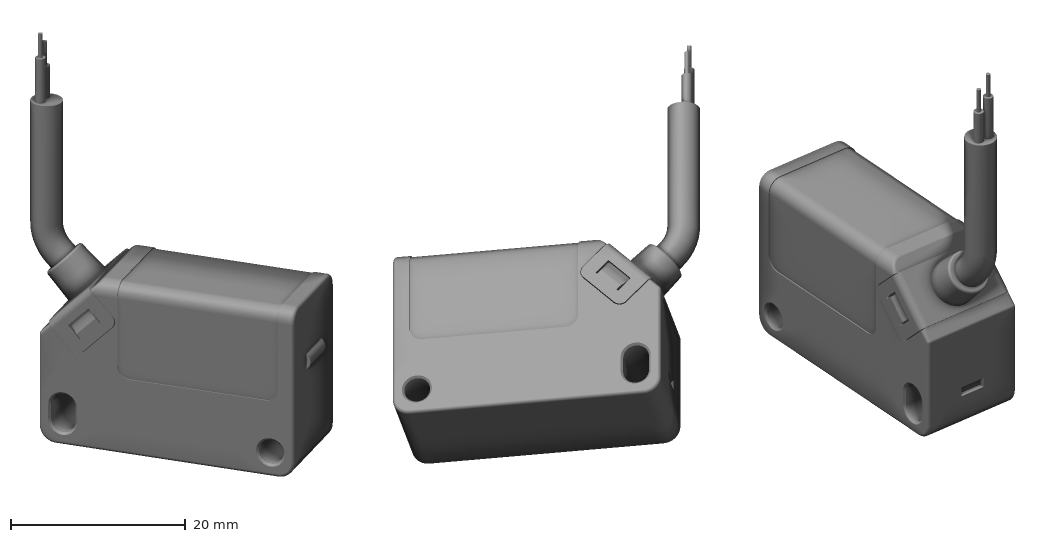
import cadquery as cq
import math


length = 31.2
width = 12.86
height = 21.0
slope_start_z = 13.55
slope_end_x = height - slope_start_z
bottom_corner_radius = 2.0
top_edge_radius = 1.7
rim_radius = 0.4

hole_diameter = 3.0
rim_diameter = 3.5
rim_chamfer = (rim_diameter - hole_diameter) / 2
hole_x = 28.35
hole_z = 3.0
slot_x = 2.9
slot_travel = 1.8

label_depth = 0.14
label_start_x = 9.6
label_end_x = 29.2
label_bottom_z = 9.4
label_corner_radius = 1.5

notch_width = 3.2
notch_bottom_z = 4.4
notch_height = 1.2
notch_depth = 0.6

clip_length = 7.0
clip_span = 13.01
clip_depth = 5.2
clip_web = 0.32
clip_wing = 0.5
clip_edge_radius = 0.9
clip_corner_radius = 1.0
clip_gap = 0.1

window_length = 3.7
window_near = 1.8
window_far = 3.9
bump_length = 3.2
bump_near = 2.1
bump_crest = 3.2
bump_far = window_far

boot_diameter = 5.7
boot_length = 4.15
boot_taper = 3.2
boot_edge_radius = 0.3

cable_diameter = 3.75
cable_x = -1.5
cable_bend_radius = 5.0
conductor_length = 3.0
conductor_diameter = 0.52
insulation_diameter = 1.19
wire_offset_x = -0.5
wire_offset_y = 0.7
short_insulation = 4.0
long_insulation = 5.5
overall_top_z = 48.26
cable_top_z = overall_top_z - conductor_length - long_insulation

bar_length = 4.8
bar_chord = 1.9
bar_rise = 0.505
bar_z = 13.15

slope_mid_x = slope_end_x / 2
slope_mid_z = (slope_start_z + height) / 2
slope_plane = cq.Plane(
    origin=(slope_mid_x, 0, slope_mid_z), xDir=(1, 0, 1), normal=(-1, 0, 1)
)

outward = cq.Vector(-1, 0, 1)
outer_end = cq.selectors.DirectionMinMaxSelector(outward, True)
inner_end = cq.selectors.DirectionMinMaxSelector(outward, False)
along_slope = cq.selectors.ParallelDirSelector(cq.Vector(1, 0, 1))


def slope_box(along, across, near, far):
    """Box centred on the slope frame, between two depths below the outer web face."""
    return (
        cq.Workplane(slope_plane)
        .workplane(offset=clip_web - far)
        .rect(along, across)
        .extrude(far - near)
    )


def side_mirrored(shape):
    """The shape joined with its mirror image across the mid plane."""
    return shape.union(shape.mirror("XZ"))


def box_between(x_range, half_width, z_range):
    """Box over an X range and a Z range, reaching half_width to both sides of the mid plane."""
    return cq.Workplane("XY").box(
        x_range[1] - x_range[0], 2 * half_width, z_range[1] - z_range[0], centered=(False, True, False)
    ).translate((x_range[0], 0, z_range[0]))


def housing_blank():
    """Five-sided outline with round bottom corners, round top edges and a soft rim."""
    blank = (
        cq.Workplane("XZ")
        .moveTo(0, 0)
        .lineTo(length, 0)
        .lineTo(length, height)
        .lineTo(slope_end_x, height)
        .lineTo(0, slope_start_z)
        .close()
        .extrude(width / 2, both=True)
        .edges("|Y and <Z")
        .fillet(bottom_corner_radius)
        .faces(">Z")
        .edges("|X")
        .fillet(top_edge_radius)
    )
    margin = rim_radius
    bottom_corners = cq.selectors.BoxSelector(
        (-margin, -margin, -margin), (length + margin, margin, bottom_corner_radius + margin)
    )
    top_lines = cq.selectors.BoxSelector(
        (length / 2, -width, height - top_edge_radius - margin),
        (length - margin, width, height + margin),
    )
    cross_lines = cq.selectors.ParallelDirSelector(cq.Vector(0, 1, 0))
    kept_sharp = cq.selectors.SumSelector(
        cq.selectors.AndSelector(bottom_corners, cross_lines), top_lines
    )
    return blank.edges(cq.selectors.InverseSelector(kept_sharp)).fillet(rim_radius)


def label_recess():
    """Thin sleeve that sinks the label area below the top and both sides."""
    outline_height = height - label_bottom_z
    label_span = label_end_x - label_start_x
    window = (
        cq.Workplane("XZ", origin=(0, width, 0))
        .moveTo((label_start_x + label_end_x) / 2, label_bottom_z + outline_height / 2)
        .rect(label_span, outline_height)
        .extrude(2 * width)
        .edges("|Y and <Z")
        .fillet(label_corner_radius)
    )
    core = (
        box_between((label_start_x, label_end_x), width / 2 - label_depth, (0, height - label_depth))
        .edges("|X and >Z")
        .fillet(top_edge_radius - label_depth)
    )
    return window.cut(core)


def rim_cutter(center_x, low_z, travel):
    """Through hole, or slot if it has travel, with a chamfered rim on both sides."""

    def profile(diameter, start_y):
        plane = cq.Workplane("XZ", origin=(center_x, start_y, low_z + travel / 2))
        if travel:
            return plane.slot2D(diameter + travel, diameter, 90)
        return plane.circle(diameter / 2)

    through = profile(hole_diameter, width).extrude(2 * width)
    front_rim = profile(hole_diameter, -width / 2 + rim_chamfer).extrude(rim_chamfer, taper=-45)
    return side_mirrored(through.union(front_rim))


def release_notch():
    """Notch with a flat floor and a 45 degree ceiling."""
    return (
        cq.Workplane("XZ")
        .polyline([
            (0, notch_bottom_z),
            (notch_depth, notch_bottom_z),
            (notch_depth, notch_bottom_z + notch_height - notch_depth),
            (0, notch_bottom_z + notch_height),
        ])
        .close()
        .extrude(notch_width / 2, both=True)
    )


def latch_bumps():
    """Ramped bumps that rise from the pocket floors to the outer wing faces."""
    crest_y = clip_span / 2
    floor_y = crest_y - clip_wing
    bump = (
        cq.Workplane(cq.Plane(origin=slope_plane.origin, xDir=(0, -1, 0), normal=(1, 0, 1)))
        .polyline([
            (floor_y, bump_near - clip_web),
            (crest_y, bump_crest - clip_web),
            (crest_y, bump_far - clip_web),
            (floor_y, bump_far - clip_web),
        ])
        .close()
        .extrude(bump_length / 2, both=True)
    )
    return side_mirrored(bump)


def clip_block(half_span, grow):
    """Full-width block over the clip's footprint, grown by a gap, with its two inner corners round."""
    block = slope_box(clip_length + 2 * grow, 2 * half_span, 0, clip_depth + grow)
    return block.faces(inner_end).edges("|Y").fillet(clip_corner_radius + grow)


def wing_zone():
    """Everything outside the inner faces of the two wings, as one slab to each side."""
    slab = box_between((-length, length), width, (-height, 2 * height))
    return slab.cut(box_between((-length, length), clip_span / 2 - clip_wing, (-height, 2 * height)))


def make_housing():
    """Housing with its holes, label recess, notch and clip seat."""
    housing = housing_blank().cut(label_recess()).cut(release_notch())
    housing = housing.cut(rim_cutter(hole_x, hole_z, 0)).cut(rim_cutter(slot_x, hole_z, slot_travel))
    housing = housing.cut(clip_block(width, clip_gap).intersect(wing_zone()))
    return housing.union(latch_bumps())


def make_clip():
    """U-shaped clip with latch windows and the tapered boot on its web."""
    block = clip_block(clip_span / 2, 0)
    block = block.faces(outer_end).edges(along_slope).fillet(clip_edge_radius)
    web = slope_box(2 * clip_length, 2 * clip_span, 0, clip_web)
    clip = block.intersect(wing_zone().union(web))
    clip = clip.cut(slope_box(window_length, 2 * clip_span, window_near, window_far))
    boot = (
        cq.Workplane(slope_plane)
        .workplane(offset=clip_web)
        .circle(boot_diameter / 2)
        .extrude(boot_length, taper=boot_taper)
        .faces(outer_end)
        .edges()
        .fillet(boot_edge_radius)
    )
    return clip.union(boot)


def make_cable():
    """Straight run down from the wires, a 45 degree bend and a straight end on the boot."""
    bend_end = math.pi / 4
    bend_mid = bend_end / 2
    meet_z = slope_mid_z + slope_mid_x - cable_x
    bend_start_z = meet_z + cable_bend_radius * math.tan(bend_mid)
    bend_center_x = cable_x + cable_bend_radius
    end_lift = (clip_web + boot_length) / math.sqrt(2)
    path = (
        cq.Workplane("XZ")
        .moveTo(cable_x, cable_top_z)
        .lineTo(cable_x, bend_start_z)
        .threePointArc(
            (
                bend_center_x - cable_bend_radius * math.cos(bend_mid),
                bend_start_z - cable_bend_radius * math.sin(bend_mid),
            ),
            (
                bend_center_x - cable_bend_radius * math.cos(bend_end),
                bend_start_z - cable_bend_radius * math.sin(bend_end),
            ),
        )
        .lineTo(slope_mid_x - end_lift, slope_mid_z + end_lift)
    )
    return (
        cq.Workplane("XY", origin=(cable_x, 0, cable_top_z))
        .circle(cable_diameter / 2)
        .sweep(path)
    )


def make_rod(y, bottom_z, rod_length, diameter):
    """Upright round rod on one wire's axis."""
    return (
        cq.Workplane("XY", origin=(cable_x + wire_offset_x, y, bottom_z))
        .circle(diameter / 2)
        .extrude(rod_length)
    )


def make_indicator_bar():
    """Bar along Y with an arched outer face, on the X = length face."""
    return (
        cq.Workplane("XZ", origin=(length, 0, bar_z))
        .moveTo(0, -bar_chord / 2)
        .threePointArc((bar_rise, 0), (0, bar_chord / 2))
        .close()
        .extrude(bar_length / 2, both=True)
    )


housing = make_housing()
clip = make_clip()
cable = make_cable()
indicator_bar = make_indicator_bar()

insulations = []
conductors = []
for wire_y, insulation_length in ((wire_offset_y, short_insulation), (-wire_offset_y, long_insulation)):
    insulations.append(make_rod(wire_y, cable_top_z, insulation_length, insulation_diameter).val())
    conductor_bottom_z = cable_top_z + insulation_length
    conductors.append(make_rod(wire_y, conductor_bottom_z, conductor_length, conductor_diameter).val())

result = cq.Compound.makeCompound(
    [housing.val(), clip.val(), cable.val(), indicator_bar.val(), *insulations, *conductors]
)